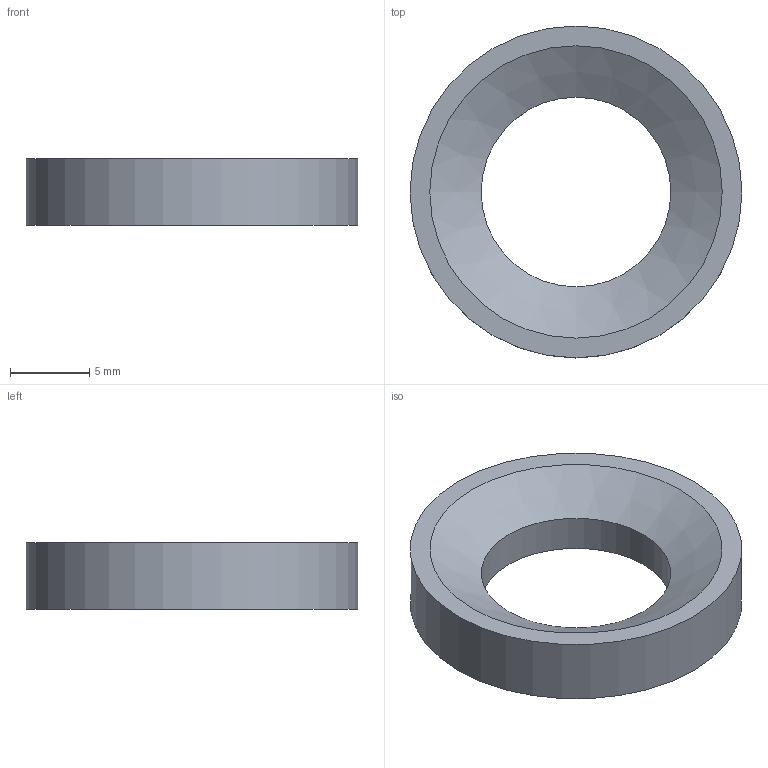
import cadquery as cq
import math

outer_diameter = 21.0
bore_diameter = 12.0
seat_diameter = 18.5
thickness = 4.2
seat_angle = 120.0

outer_radius = outer_diameter / 2
bore_radius = bore_diameter / 2
seat_radius = seat_diameter / 2
seat_depth = (seat_radius - bore_radius) / math.tan(math.radians(seat_angle / 2))


def washer_section():
    """Half section in the XZ plane, from the bore out to the rim."""
    return (
        cq.Workplane("XZ")
        .moveTo(bore_radius, 0)
        .lineTo(outer_radius, 0)
        .lineTo(outer_radius, thickness)
        .lineTo(seat_radius, thickness)
        .lineTo(bore_radius, thickness - seat_depth)
        .close()
    )


result = washer_section().revolve(360, (0, 0, 0), (0, 1, 0))